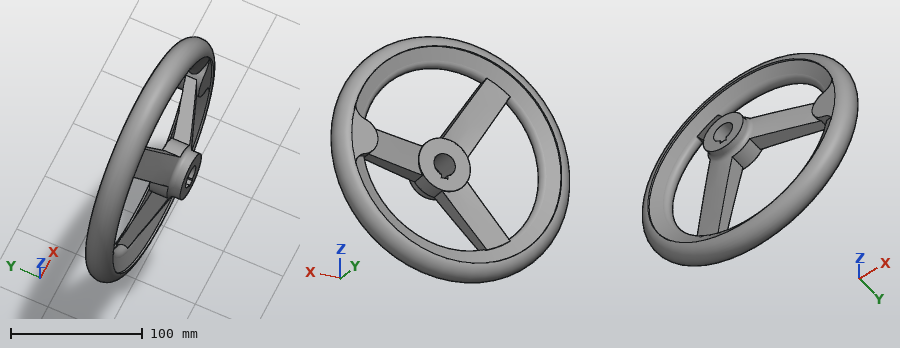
import cadquery as cq
import math


rim_radius = 100.0
rim_width = 22.0
half_width = rim_width / 2
crown_radius = rim_radius - half_width
step_depth = 1.5
opening_radius = 75.0
lip_radius = 4.0
lip_half_width = 5.0
lip_edge_radius = opening_radius + lip_radius

hub_front = -34.0
hub_back = -9.5
hub_radius = 21.8
nose_radius = 19.0
nose_length = 5.5
neck_length = 4.0
bore_radius = 9.0
keyway_width = 5.5
keyway_depth = 11.5

spoke_angles = (0, 120, 240)
spoke_root_thickness = 13.5
spoke_tip_thickness = 9.0
spoke_root_y = hub_front + nose_length + neck_length
spoke_slope = 0.38
spoke_half_root = 12.5
spoke_half_tip = 11.2
spoke_tip_radius = 77.0

boss_radius = 15.0
boss_center = 81.0
boss_blend_radius = 11.2
boss_front = -half_width + step_depth


def revolve_about_axis(profile):
    """Revolve a closed (radius, Y) profile about the wheel axis."""
    return profile.close().revolve(360, (0, 0), (0, 1))


def make_rim():
    shoulder = half_width - step_depth
    return revolve_about_axis(
        cq.Workplane("XY")
        .moveTo(crown_radius, -half_width)
        .threePointArc((rim_radius, 0), (crown_radius, half_width))
        .lineTo(crown_radius, shoulder)
        .lineTo(lip_edge_radius, lip_half_width)
        .threePointArc((opening_radius, 0), (lip_edge_radius, -lip_half_width))
        .lineTo(crown_radius, -shoulder)
    )


def make_hub():
    nose_end = hub_front + nose_length
    return revolve_about_axis(
        cq.Workplane("XY")
        .moveTo(0, hub_front)
        .lineTo(nose_radius, hub_front)
        .lineTo(nose_radius, nose_end)
        .tangentArcPoint((hub_radius, nose_end + neck_length), relative=False)
        .lineTo(hub_radius, hub_back)
        .lineTo(0, hub_back)
    )


def make_spokes():
    tip_y = spoke_root_y + spoke_slope * (spoke_tip_radius - hub_radius)
    dish = revolve_about_axis(
        cq.Workplane("XY")
        .moveTo(hub_radius, spoke_root_y)
        .lineTo(spoke_tip_radius, tip_y)
        .lineTo(spoke_tip_radius, tip_y + spoke_tip_thickness)
        .lineTo(hub_radius, spoke_root_y + spoke_root_thickness)
    )
    blade = (
        cq.Workplane("XZ")
        .polyline([
            (0, -spoke_half_root),
            (rim_radius, -spoke_half_tip),
            (rim_radius, spoke_half_tip),
            (0, spoke_half_root),
        ])
        .close()
        .extrude(rim_width * 2, both=True)
    )
    blades = cq.Workplane("XZ")
    for angle in spoke_angles:
        blades = blades.union(blade.rotate((0, 0, 0), (0, 1, 0), angle))
    return dish.intersect(blades)


def make_boss():
    blend_reach = boss_radius + boss_blend_radius
    blend_from_axis = crown_radius - boss_blend_radius
    blend_x = (boss_center**2 + blend_from_axis**2 - blend_reach**2) / (2 * boss_center)
    blend_z = math.sqrt(blend_from_axis**2 - blend_x**2)
    to_boss = math.atan2(-blend_z, boss_center - blend_x)
    to_rim = math.atan2(blend_z, blend_x)
    middle = (to_boss + to_rim) / 2

    def blend_point(angle, side):
        x = blend_x + boss_blend_radius * math.cos(angle)
        z = blend_z + boss_blend_radius * math.sin(angle)
        return (x, side * z)

    return (
        cq.Workplane("XZ", origin=(0, boss_front, 0))
        .moveTo(*blend_point(to_rim, 1))
        .threePointArc(blend_point(middle, 1), blend_point(to_boss, 1))
        .threePointArc((boss_center - boss_radius, 0), blend_point(to_boss, -1))
        .threePointArc(blend_point(middle, -1), blend_point(to_rim, -1))
        .threePointArc((crown_radius, 0), blend_point(to_rim, 1))
        .close()
        .extrude(2 * boss_front)
    )


def make_bore():
    through = hub_back - hub_front
    front = cq.Workplane("XZ", origin=(0, hub_front, 0))
    keyway = front.center(0, -keyway_depth / 2).rect(keyway_width, keyway_depth).extrude(-through)
    return front.circle(bore_radius).extrude(-through).union(keyway)


wheel = make_rim().union(make_spokes()).union(make_hub()).union(make_boss())
result = wheel.cut(make_bore())